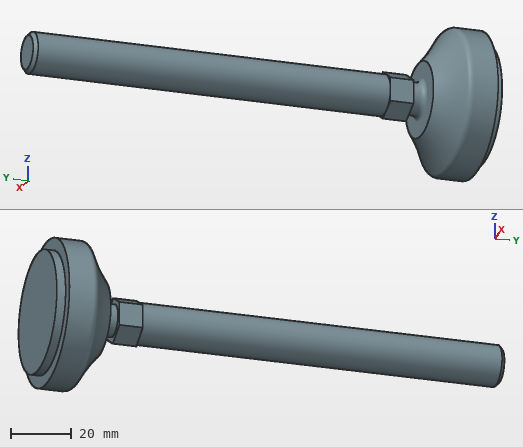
import cadquery as cq
import math

total_length = 159.0
rod_diameter = 14.0
rod_chamfer = 1.3

hex_across_flats = rod_diameter
hex_start = 25.9
hex_length = 8.1

neck_radius = 11.0 / 2
flare_height = 1.9
flare_width = 1.6

pad_radius = 41.5 / 2
pad_height = 3.0
rim_radius = 50.0 / 2
rim_top = 11.5
shoulder_radius = 2.2
shoulder_angle = math.radians(59)
foot_top = 21.1
foot_top_radius = 12.9
cone_hollow = 0.4


def shoulder_point(angle):
    """Point (radius, height) on the rounded shoulder, angle measured from the rim side."""
    return (
        rim_radius - shoulder_radius * (1 - math.cos(angle)),
        rim_top + shoulder_radius * math.sin(angle),
    )


def hollow_midpoint(start, end, depth):
    """Midpoint of a falling chord, shifted by depth towards the axis and the sole."""
    chord_radius = end[0] - start[0]
    chord_height = end[1] - start[1]
    chord = math.hypot(chord_radius, chord_height)
    return (
        (start[0] + end[0]) / 2 + depth * chord_height / chord,
        (start[1] + end[1]) / 2 - depth * chord_radius / chord,
    )


def make_foot_and_neck():
    shoulder_end = shoulder_point(shoulder_angle)
    cone_top = (foot_top_radius, foot_top)
    cone_middle = hollow_midpoint(cone_top, shoulder_end, cone_hollow)
    flare_bottom = (neck_radius + flare_width, foot_top)
    flare_top = (neck_radius, foot_top + flare_height)
    return (
        cq.Workplane("XY")
        .lineTo(pad_radius, 0)
        .lineTo(pad_radius, pad_height)
        .lineTo(rim_radius, pad_height)
        .lineTo(rim_radius, rim_top)
        .threePointArc(shoulder_point(shoulder_angle / 2), shoulder_end)
        .threePointArc(cone_middle, cone_top)
        .lineTo(*flare_bottom)
        .radiusArc(flare_top, (flare_height**2 + flare_width**2) / (2 * flare_width))
        .lineTo(neck_radius, hex_start)
        .lineTo(0, hex_start)
        .close()
        .revolve(360, (0, 0, 0), (0, 1, 0))
    )


def make_hexagon():
    corner_diameter = hex_across_flats / math.cos(math.pi / 6)
    return (
        cq.Workplane("XZ", origin=(0, hex_start, 0))
        .transformed(rotate=(0, 0, 90))
        .polygon(6, corner_diameter)
        .extrude(-hex_length)
    )


def make_rod():
    rod_start = hex_start + hex_length
    return (
        cq.Workplane("XZ", origin=(0, rod_start, 0))
        .circle(rod_diameter / 2)
        .extrude(rod_start - total_length)
        .faces(">Y")
        .chamfer(rod_chamfer)
    )


result = (
    make_foot_and_neck()
    .union(make_hexagon())
    .union(make_rod())
    .translate((0, -total_length / 2, 0))
)